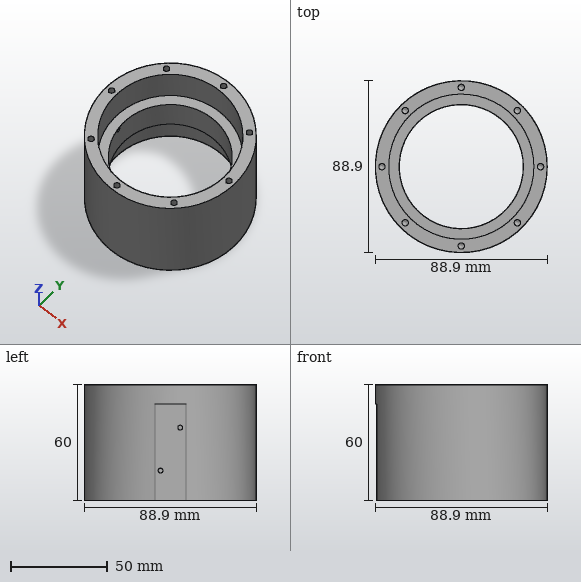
import cadquery as cq
import math

outer_diameter = 88.9
height = 60.0
bore_diameter = 64.0
seat_diameter = 75.0
seat_depth = 20.5

rim_hole_count = 8
rim_hole_circle = 82.0
rim_hole_diameter = 3.3
rim_hole_depth = 10.0
drill_point_angle = 118.0

flat_width = 16.0
flat_height = 50.0

flat_hole_diameter = 2.5
flat_hole_offset = 5.1
flat_hole_mid_height = 26.7
flat_hole_rise = 11.1

outer_radius = outer_diameter / 2
flat_distance = math.sqrt(outer_radius**2 - (flat_width / 2) ** 2)


def make_sleeve():
    """Round sleeve with a bore and a wider seat at each end."""
    body = cq.Workplane("XY").circle(outer_radius).extrude(height)
    bore = cq.Workplane("XY").circle(bore_diameter / 2).extrude(height)
    seat = cq.Workplane("XY").circle(seat_diameter / 2).extrude(seat_depth)
    top_seat = seat.translate((0, 0, height - seat_depth))
    return body.cut(bore).cut(seat).cut(top_seat)


def make_rim_drill():
    """Blind drilled hole with a conical bottom, opening at the top rim."""
    radius = rim_hole_diameter / 2
    tip_length = radius / math.tan(math.radians(drill_point_angle / 2))
    return (
        cq.Workplane("XZ")
        .moveTo(0, height)
        .lineTo(radius, height)
        .lineTo(radius, height - rim_hole_depth)
        .lineTo(0, height - rim_hole_depth - tip_length)
        .close()
        .revolve(360, (0, 0), (0, 1))
        .translate((rim_hole_circle / 2, 0, 0))
    )


def make_flat_cutter():
    """Block that removes the wall outside the flat."""
    return cq.Workplane("XY").box(
        outer_radius, outer_diameter, flat_height, centered=(False, True, False)
    ).translate((-flat_distance - outer_radius, 0, 0))


def make_flat_hole(side):
    """Hole along X through the -X wall; side +1 is the lower one, at +Y."""
    return (
        cq.Workplane("YZ", origin=(-outer_radius, 0, 0))
        .center(side * flat_hole_offset, flat_hole_mid_height - side * flat_hole_rise)
        .circle(flat_hole_diameter / 2)
        .extrude(outer_radius)
    )


result = make_sleeve().cut(make_flat_cutter())
for index in range(rim_hole_count):
    angle = index * 360 / rim_hole_count
    result = result.cut(make_rim_drill().rotate((0, 0, 0), (0, 0, 1), angle))
for side in (1, -1):
    result = result.cut(make_flat_hole(side))